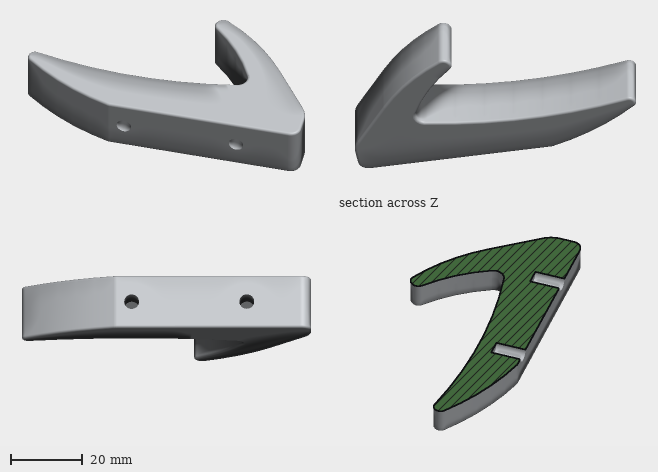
import cadquery as cq
import math

thickness = 15.0
edge_round = 0.7
heel_round = 3.0

base_angle = math.radians(13.9)
base_start = (28.7, 0.0)
base_length = 54.4
back_length = 9.5
lower_back_round = 3.0
upper_back_round = 7.3
hole_diameter = 4.1
hole_depth = 8.6
hole_offsets = (4.5, 36.55)

long_tip_top = (0.0, 9.8)
long_tip_bottom = (0.0, 6.55)
long_tip_round = 1.9
long_edge_middle = (29.2, 13.6)
belly_middle = (13.75, 1.9)

throat = (60.2, 25.0)
throat_round = 3.0

short_edge_middle = (50.6, 35.0)
short_tip_bottom = (40.0, 41.4)
short_tip_top = (41.7, 45.2)
short_tip_round = 2.1
shoulder_end = (65.1, 33.9)


def along_base(distance, offset=0.0):
    """Point at a distance along the base and an offset into the plate."""
    return (
        base_start[0] + distance * math.cos(base_angle) - offset * math.sin(base_angle),
        base_start[1] + distance * math.sin(base_angle) + offset * math.cos(base_angle),
    )


lower_back = along_base(base_length)
upper_back = along_base(base_length, back_length)


def make_plate():
    outline = (
        cq.Workplane("XY")
        .moveTo(*base_start)
        .lineTo(*lower_back)
        .lineTo(*upper_back)
        .lineTo(*shoulder_end)
        .tangentArcPoint(short_tip_top, relative=False)
        .lineTo(*short_tip_bottom)
        .threePointArc(short_edge_middle, throat)
        .threePointArc(long_edge_middle, long_tip_top)
        .lineTo(*long_tip_bottom)
        .threePointArc(belly_middle, base_start)
        .close()
    )
    plate = outline.extrude(thickness)
    corner_rounds = (
        (base_start, heel_round),
        (lower_back, lower_back_round),
        (upper_back, upper_back_round),
        (short_tip_top, short_tip_round),
        (short_tip_bottom, short_tip_round),
        (throat, throat_round),
        (long_tip_top, long_tip_round),
        (long_tip_bottom, long_tip_round),
    )
    for corner, radius in corner_rounds:
        nearest = cq.selectors.NearestToPointSelector((*corner, thickness / 2))
        plate = plate.edges("|Z").edges(nearest).fillet(radius)
    return plate.faces("<Z or >Z").edges().fillet(edge_round)


def make_hole(distance):
    center = along_base(distance)
    inward = cq.Vector(-math.sin(base_angle), math.cos(base_angle), 0)
    return cq.Solid.makeCylinder(
        hole_diameter / 2, hole_depth, cq.Vector(*center, thickness / 2), inward
    )


result = make_plate()
for hole_offset in hole_offsets:
    result = result.cut(cq.Workplane(obj=make_hole(hole_offset)))